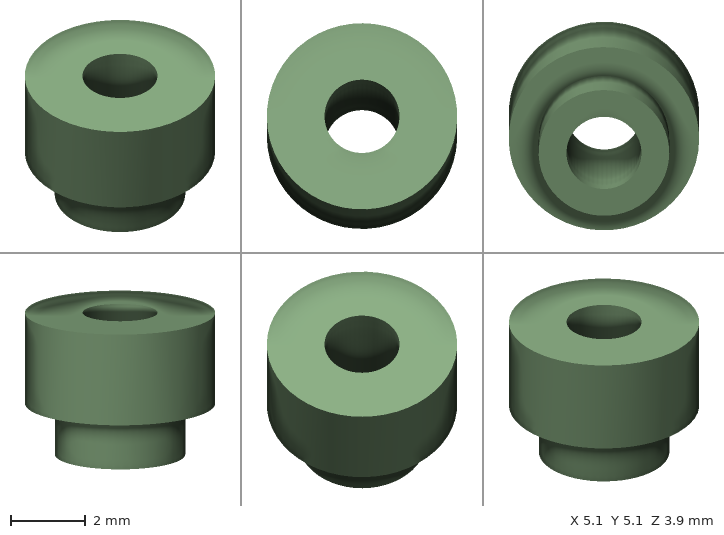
import cadquery as cq

head_diameter = 5.1
shank_diameter = 3.5
bore_diameter = 2.01
total_height = 3.9
head_height = 2.5
shank_height = total_height - head_height

shank = cq.Workplane("XY").circle(shank_diameter / 2).extrude(shank_height)

head = (
    cq.Workplane("XY")
    .workplane(offset=shank_height)
    .circle(head_diameter / 2)
    .extrude(head_height)
)

bore = cq.Workplane("XY").circle(bore_diameter / 2).extrude(total_height)

result = shank.union(head).cut(bore)